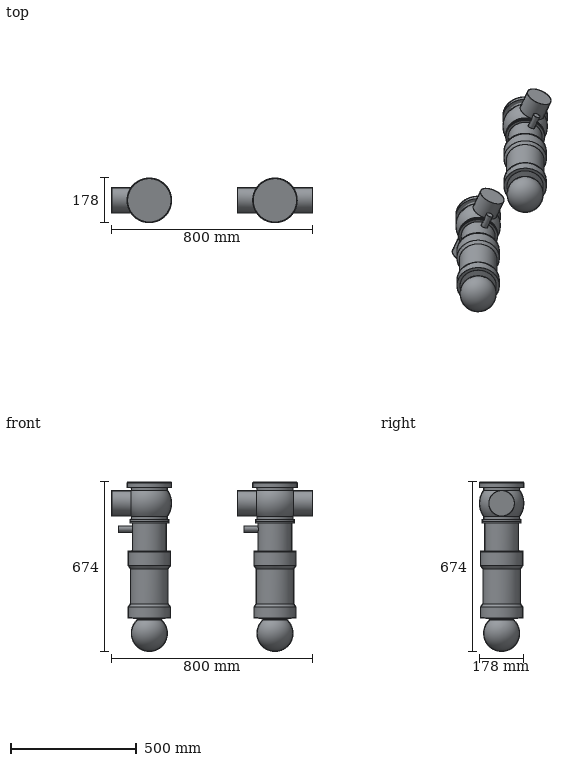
import cadquery as cq

STATION_SPACING = 500.0
OVERALL_LENGTH = 800.0
PIPE_REACH = (OVERALL_LENGTH - STATION_SPACING) / 2

TOTAL_HEIGHT = 674.0
BULB_DEPTH = 84.0
HEAD_BOTTOM = 156.0
STUB_DEPTH = 187.0
COLUMN_BOTTOM = 278.0
JACKET_BOTTOM = 540.0

LID_DIAMETER = 178.0
LID_THICKNESS = 22.0
LID_CHAMFER = 2.0
BULB_DIAMETER = 178.0
NECK_DIAMETER = 144.0
PIPE_DIAMETER = 102.0

ROOT_FILLET = 2.0

JOINT_DIAMETER = 155.0
JOINT_THICKNESS = 7.0
COLUMN_DIAMETER = 135.0
STUB_DIAMETER = 27.0
STUB_REACH = 123.0
FOOT_THICKNESS = 5.0

COLLAR_DIAMETER = 169.0
BARREL_DIAMETER = 150.0
TAPER_HEIGHT = 14.0
UPPER_COLLAR_HEIGHT = 53.0
LOWER_COLLAR_HEIGHT = 42.0

BALL_DIAMETER = 144.0
BALL_NECK_DIAMETER = 96.0
FLARE_HEIGHT = 4.0


def disc(diameter, top_depth, bottom_depth):
    """Vertical cylinder on the station axis between two depths."""
    height = bottom_depth - top_depth
    return cq.Workplane("XY").workplane(offset=-bottom_depth).circle(diameter / 2).extrude(height)


def ball(diameter, depth):
    """Sphere centred on the station axis."""
    return cq.Workplane("XY").sphere(diameter / 2).translate((0, 0, -depth))


def side_pipe(diameter, depth, reach):
    """Horizontal cylinder from the axis to X = reach; a negative reach points to -X."""
    return cq.Workplane("YZ").center(0, -depth).circle(diameter / 2).extrude(reach)


def round_root(body, depth, diameter):
    """Fillet the inner corner where a shaft of this diameter meets a flange at this depth."""
    reach = diameter / 2 + ROOT_FILLET
    corner = cq.selectors.BoxSelector(
        (-reach, -reach, -depth - ROOT_FILLET), (reach, reach, -depth + ROOT_FILLET), boundingbox=True
    )
    return body.edges(corner).edges("%CIRCLE").fillet(ROOT_FILLET)


def make_head(pipe_directions):
    """Lidded bulb with one pipe for each direction, +1 or -1 along X."""
    lid = disc(LID_DIAMETER, 0, LID_THICKNESS).faces(">Z").chamfer(LID_CHAMFER)
    neck = disc(NECK_DIAMETER, LID_THICKNESS, HEAD_BOTTOM)
    joint = disc(JOINT_DIAMETER, HEAD_BOTTOM - JOINT_THICKNESS, HEAD_BOTTOM)
    bulb = ball(BULB_DIAMETER, BULB_DEPTH).intersect(disc(BULB_DIAMETER, LID_THICKNESS, HEAD_BOTTOM))
    head = lid.union(neck).union(joint)
    head = round_root(head, LID_THICKNESS, NECK_DIAMETER)
    head = round_root(head, HEAD_BOTTOM - JOINT_THICKNESS, NECK_DIAMETER)
    head = head.union(bulb)
    for direction in pipe_directions:
        head = head.union(side_pipe(PIPE_DIAMETER, BULB_DEPTH, direction * PIPE_REACH))
    return head


def make_column():
    """Shaft between two flanges, with a side stub toward -X."""
    shaft = disc(COLUMN_DIAMETER, HEAD_BOTTOM, COLUMN_BOTTOM)
    joint = disc(JOINT_DIAMETER, HEAD_BOTTOM, HEAD_BOTTOM + JOINT_THICKNESS)
    foot_top = COLUMN_BOTTOM - FOOT_THICKNESS
    foot = disc(COLLAR_DIAMETER, foot_top, COLUMN_BOTTOM)
    stub = side_pipe(STUB_DIAMETER, STUB_DEPTH, -STUB_REACH)
    column = round_root(shaft.union(joint).union(foot), foot_top, COLUMN_DIAMETER)
    return column.union(stub)


def make_jacket():
    """Solid barrel whose end collars taper down to its middle."""
    collar_radius = COLLAR_DIAMETER / 2
    barrel_radius = BARREL_DIAMETER / 2
    upper_taper_top = -COLUMN_BOTTOM - UPPER_COLLAR_HEIGHT
    lower_taper_bottom = -JACKET_BOTTOM + LOWER_COLLAR_HEIGHT
    half_profile = [
        (0, -COLUMN_BOTTOM),
        (collar_radius, -COLUMN_BOTTOM),
        (collar_radius, upper_taper_top),
        (barrel_radius, upper_taper_top - TAPER_HEIGHT),
        (barrel_radius, lower_taper_bottom + TAPER_HEIGHT),
        (collar_radius, lower_taper_bottom),
        (collar_radius, -JACKET_BOTTOM),
        (0, -JACKET_BOTTOM),
    ]
    return cq.Workplane("XZ").polyline(half_profile).close().revolve(360, (0, 0, 0), (0, 1, 0))


def make_ball():
    """Ball hanging from the jacket on a short neck."""
    center_depth = TOTAL_HEIGHT - BALL_DIAMETER / 2
    neck = disc(BALL_NECK_DIAMETER, JACKET_BOTTOM, center_depth)
    flare_top = cq.Vector(0, 0, -JACKET_BOTTOM)
    downward = cq.Vector(0, 0, -1)
    cone = cq.Solid.makeCone(BALL_DIAMETER / 2, BALL_NECK_DIAMETER / 2, FLARE_HEIGHT, flare_top, downward)
    flare = cq.Workplane(cone)
    jacket_space = disc(COLLAR_DIAMETER, COLUMN_BOTTOM, JACKET_BOTTOM)
    trimmed_ball = ball(BALL_DIAMETER, center_depth).cut(jacket_space)
    return flare.union(neck).union(trimmed_ball)


STATIONS = [
    (-STATION_SPACING / 2, [-1]),
    (STATION_SPACING / 2, [-1, 1]),
]

bodies = []
for station_x, pipe_directions in STATIONS:
    for body in (make_head(pipe_directions), make_column(), make_jacket(), make_ball()):
        bodies.append(body.translate((station_x, 0, 0)).solids().val())

result = cq.Compound.makeCompound(bodies)